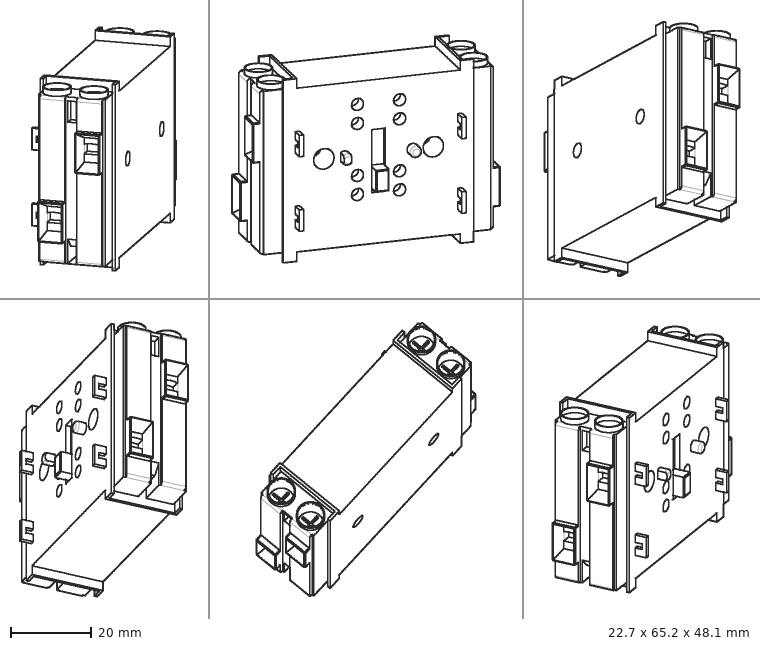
import cadquery as cq


CASING_WIDTH = 19.55
CASING_HALF_LENGTH = 21.5
CASING_HALF_HEIGHT = 21.6

CHANNEL_HALF_HEIGHT = 24.05
CHANNEL_DEPTH = 3.5
CHANNEL_WALL = 0.8

TERMINAL_CENTER_X = 9.7
BLOCK_HALF_WIDTH = 8.7
BLOCK_TOP = 21.3
BLOCK_BOTTOM = -21.7
BLOCK_FACE = 29.85
STRIP_FACE = 30.8
STRIP_WIDTH = 6.5
STRIP_OFFSET = 4.8
STRIP_ROUND = 0.8

RECESS_WIDTH = 2.15
RECESS_DEPTH = 2.4
POCKET_TOP = 20.3
POCKET_BOTTOM = 14.8
NOTCH_TOP = -15.45

FUNNEL_FACE = 32.6
FUNNEL_HEIGHT = 10.5
FUNNEL_BEVEL = 0.25
UPPER_FUNNEL_Z = 7.7
LOWER_FUNNEL_Z = -10.8
FUNNEL_LIP = 0.3
THROAT_WIDTH = 3.85
THROAT_HEIGHT = 6.3
TAPER_DEPTH = 3.8
CLAMP_GAP_BOTTOM = -1.05
CLAMP_GAP_TOP = 1.5
CLAMP_GAP_ARCH = 0.2
CLAMP_GAP_DEPTH = 2.6

SCREW_Y = 26.65
COLLAR_RADIUS = 3.5
COLLAR_BORE_RADIUS = 3.25
COLLAR_TOP = 22.8
SCREW_HEAD_TOP = 16.3
CROSS_LENGTH = 5.35
CROSS_WIDTH = 0.5
CROSS_DEPTH = 0.65

CLIP_HEIGHT = 5.6
CLIP_THICKNESS = 1.1
CLIP_REACH = 3.1
CLIP_Y = 21.4
CLIP_CENTERS_Z = (7.4, -12.25)
CLIP_WINDOW_HEIGHT = 1.5
CLIP_WINDOW_REACH = 1.95

AXIS_Z = 2.15
PEG_Y = 9.0
PEG_RADIUS = 1.5
PEG_REACH = 2.7
PEG_TIP_ROUND = 0.6
FLAT_PEG_WIDTH = 2.0

MOUNT_HOLE_Y = 14.4
MOUNT_HOLE_RADIUS = 1.8
COUNTERBORE_RADIUS = 2.7
COUNTERBORE_DEPTH = 9.8

CONTACT_HOLE_RADIUS = 1.55
CONTACT_HOLE_DEPTH = 3.9
CONTACT_HOLE_Y = 5.55
CONTACT_CENTER_Z = 3.65
CONTACT_HOLE_OFFSETS_Z = (6.85, 11.85)

SLOT_WIDTH = 3.6
SLOT_TOP = 8.5
SLOT_BOTTOM = -8.15
SLOT_DEPTH = 1.45
SLIDER_WIDTH = 3.45
SLIDER_TOP = -1.4
SLIDER_BOTTOM = -7.05
SLIDER_REACH = 3.1
SLIDER_BEVEL = 0.25


def box(x_range, y_range, z_range):
    """Box spanning the given (low, high) limits."""
    x, y, z = x_range[0], y_range[0], z_range[0]
    size_x, size_y, size_z = x_range[1] - x, y_range[1] - y, z_range[1] - z
    return cq.Workplane("XY").box(size_x, size_y, size_z, centered=False).translate((x, y, z))


def span(center, size):
    """Limits of a length centred on a point."""
    return (center - size / 2, center + size / 2)


def cylinder_z(x, y, z_range, radius):
    height = z_range[1] - z_range[0]
    return cq.Workplane("XY", origin=(x, y, z_range[0])).circle(radius).extrude(height)


def cylinder_x(y, z, x_range, radius):
    length = x_range[1] - x_range[0]
    return cq.Workplane("YZ", origin=(x_range[0], y, z)).circle(radius).extrude(length)


def rotated_half_turn(shape):
    """Copy of an end assembly, moved to the opposite end."""
    axis_start = (TERMINAL_CENTER_X, 0, 0)
    axis_end = (TERMINAL_CENTER_X, 0, 1)
    return shape.rotate(axis_start, axis_end, 180)


def casing():
    """Main box with a U channel standing at each end."""
    body = box(
        (0, CASING_WIDTH),
        (-CASING_HALF_LENGTH, CASING_HALF_LENGTH),
        (-CASING_HALF_HEIGHT, CASING_HALF_HEIGHT),
    )
    channel_z = (-CHANNEL_HALF_HEIGHT, CHANNEL_HALF_HEIGHT)
    channel_end = -CASING_HALF_LENGTH - CHANNEL_DEPTH
    channel = box((0, CASING_WIDTH), (channel_end, -CASING_HALF_LENGTH), channel_z)
    channel = channel.cut(box(
        (CHANNEL_WALL, CASING_WIDTH - CHANNEL_WALL),
        (channel_end, -CASING_HALF_LENGTH - CHANNEL_WALL),
        channel_z,
    ))
    return body.union(channel).union(channel.mirror("XZ"))


def strip(center_x):
    """Raised vertical strip on the block face, rounded at both ends."""
    bar = box(span(center_x, STRIP_WIDTH), (-STRIP_FACE, -SCREW_Y), (BLOCK_BOTTOM, BLOCK_TOP))
    return bar.faces("<Y").edges("|X").fillet(STRIP_ROUND)


def funnel(center_x, center_z):
    """Bevelled box around the wire entry."""
    shell = box(
        span(center_x, STRIP_WIDTH),
        (-FUNNEL_FACE, -SCREW_Y),
        span(center_z, FUNNEL_HEIGHT),
    )
    return shell.edges("|Y or <Y").chamfer(FUNNEL_BEVEL)


def funnel_opening(center_x, center_z):
    """Tapered wire entry ending in the gap between two clamp jaws, the upper jaw arched."""
    taper = (
        cq.Workplane("XZ", origin=(center_x, -FUNNEL_FACE, center_z))
        .rect(STRIP_WIDTH - 2 * FUNNEL_LIP, FUNNEL_HEIGHT - 2 * FUNNEL_LIP)
        .workplane(offset=-TAPER_DEPTH)
        .rect(THROAT_WIDTH, THROAT_HEIGHT)
        .loft(ruled=True)
    )
    half_throat = THROAT_WIDTH / 2
    gap = (
        cq.Workplane("XZ", origin=(center_x, TAPER_DEPTH - FUNNEL_FACE, center_z))
        .moveTo(-half_throat, CLAMP_GAP_BOTTOM)
        .lineTo(half_throat, CLAMP_GAP_BOTTOM)
        .lineTo(half_throat, CLAMP_GAP_TOP)
        .threePointArc((0, CLAMP_GAP_TOP + CLAMP_GAP_ARCH), (-half_throat, CLAMP_GAP_TOP))
        .close()
        .extrude(-CLAMP_GAP_DEPTH)
    )
    return taper.union(gap)


def screw_bore(center_x):
    """Collar bore down to the screw head, with the cross slot in the head."""
    bore = cylinder_z(center_x, -SCREW_Y, (SCREW_HEAD_TOP, COLLAR_TOP), COLLAR_BORE_RADIUS)
    slot_z = (SCREW_HEAD_TOP - CROSS_DEPTH, SCREW_HEAD_TOP)
    for size_x, size_y in ((CROSS_LENGTH, CROSS_WIDTH), (CROSS_WIDTH, CROSS_LENGTH)):
        bore = bore.union(box(span(center_x, size_x), span(-SCREW_Y, size_y), slot_z))
    return bore


def face_recesses():
    """Pocket near the top and open notch at the bottom.

    The notch has a 45 degree sloped mouth and runs back to the channel web.
    """
    recess_x = span(CASING_WIDTH / 2, RECESS_WIDTH)
    recess_back = RECESS_DEPTH - BLOCK_FACE
    channel_web = -CASING_HALF_LENGTH - CHANNEL_WALL
    pocket = box(recess_x, (-BLOCK_FACE, recess_back), (POCKET_BOTTOM, POCKET_TOP))
    notch = (
        cq.Workplane("YZ", origin=(recess_x[0], 0, 0))
        .moveTo(-BLOCK_FACE, BLOCK_BOTTOM)
        .lineTo(channel_web, BLOCK_BOTTOM)
        .lineTo(channel_web, NOTCH_TOP - RECESS_DEPTH)
        .lineTo(recess_back, NOTCH_TOP - RECESS_DEPTH)
        .lineTo(-BLOCK_FACE, NOTCH_TOP)
        .close()
        .extrude(RECESS_WIDTH)
    )
    return pocket.union(notch)


def terminal():
    """Terminal block of the -Y end; it reaches back to the channel web."""
    near_x = TERMINAL_CENTER_X - STRIP_OFFSET
    far_x = TERMINAL_CENTER_X + STRIP_OFFSET
    funnel_places = ((near_x, LOWER_FUNNEL_Z), (far_x, UPPER_FUNNEL_Z))

    block = box(
        span(TERMINAL_CENTER_X, 2 * BLOCK_HALF_WIDTH),
        (-BLOCK_FACE, -CASING_HALF_LENGTH),
        (BLOCK_BOTTOM, BLOCK_TOP),
    )
    block = block.cut(face_recesses())
    for center_x, center_z in funnel_places:
        block = block.union(strip(center_x))
        block = block.union(funnel(center_x, center_z))
        collar_z = (BLOCK_TOP - STRIP_ROUND, COLLAR_TOP)
        block = block.union(cylinder_z(center_x, -SCREW_Y, collar_z, COLLAR_RADIUS))
    for center_x, center_z in funnel_places:
        block = block.cut(funnel_opening(center_x, center_z))
        block = block.cut(screw_bore(center_x))
    return block


def clip(center_y, center_z):
    """Windowed clip standing on the mounting face."""
    thickness = span(center_y, CLIP_THICKNESS)
    tab = box((-CLIP_REACH, 0), thickness, span(center_z, CLIP_HEIGHT))
    return tab.cut(box((-CLIP_WINDOW_REACH, 0), thickness, span(center_z, CLIP_WINDOW_HEIGHT)))


def peg(center_y):
    """Round locating peg with a rounded tip."""
    return cylinder_x(center_y, AXIS_Z, (-PEG_REACH, 0), PEG_RADIUS).faces("<X").fillet(PEG_TIP_ROUND)


def flat_sided_peg(center_y):
    """Locating peg trimmed by two flats."""
    flats = box((-PEG_REACH, 0), span(center_y, FLAT_PEG_WIDTH), span(AXIS_Z, 2 * PEG_RADIUS))
    return peg(center_y).intersect(flats)


def slider():
    """Slider block rising from the slot floor."""
    block = box((-SLIDER_REACH, SLOT_DEPTH), span(0, SLIDER_WIDTH), (SLIDER_BOTTOM, SLIDER_TOP))
    return block.faces("<X").chamfer(SLIDER_BEVEL)


def mounting_face_cuts():
    """Slider slot, counterbored mounting holes and blind contact holes."""
    half_slot = SLOT_WIDTH / 2
    cuts = box((0, SLOT_DEPTH), (-half_slot, half_slot), (SLOT_BOTTOM, SLOT_TOP))
    for side in (-1, 1):
        mount_y = side * MOUNT_HOLE_Y
        cuts = cuts.union(cylinder_x(mount_y, AXIS_Z, (0, CASING_WIDTH), MOUNT_HOLE_RADIUS))
        cuts = cuts.union(cylinder_x(mount_y, AXIS_Z, (0, COUNTERBORE_DEPTH), COUNTERBORE_RADIUS))
        for offset in CONTACT_HOLE_OFFSETS_Z:
            for hole_z in (CONTACT_CENTER_Z - offset, CONTACT_CENTER_Z + offset):
                hole_y = side * CONTACT_HOLE_Y
                hole = cylinder_x(hole_y, hole_z, (0, CONTACT_HOLE_DEPTH), CONTACT_HOLE_RADIUS)
                cuts = cuts.union(hole)
    return cuts


front_terminal = terminal()
result = casing().union(front_terminal).union(rotated_half_turn(front_terminal))
result = result.cut(mounting_face_cuts()).union(slider())
for clip_y in (-CLIP_Y, CLIP_Y):
    for clip_z in CLIP_CENTERS_Z:
        result = result.union(clip(clip_y, clip_z))
result = result.union(peg(-PEG_Y)).union(flat_sided_peg(PEG_Y))